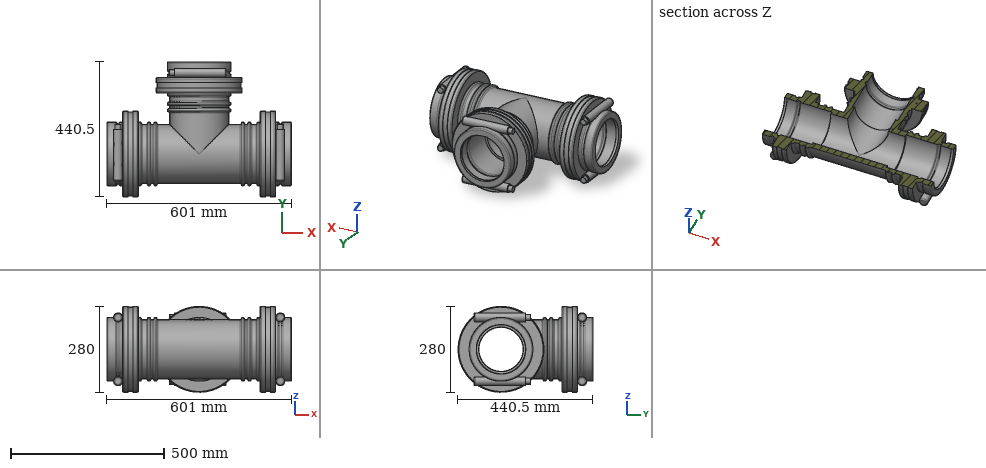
import cadquery as cq
import math

ARM_LENGTH = 300.5
PIPE_RADIUS = 193.0 / 2
COLLAR_RADIUS = 208.0 / 2
COLLAR_ROUND = 3.5

FLANGE_START = 51.0
FLANGE_THICKNESS = 51.0
FLANGE_RADIUS = 280.0 / 2
FLANGE_BAND_RADIUS = 274.5 / 2
FLANGE_ROUND = 5.0

RIB_DEPTHS = (107.0, 137.0, 158.0)
RIB_CREST_ROUND = 5.1
RIB_ROOT_ROUND = 3.9

GROOVE_CENTER = 36.0
GROOVE_CUT = 6.0
GROOVE_BOTTOM_ROUND = 3.9
GROOVE_LIP_ROUND = 5.7

BORE_RADIUS = 144.0 / 2
SEAT_RADIUS = 160.0 / 2
MOUTH_RADIUS = 161.5 / 2
MOUTH_DEPTH = 9.0
SEAT_DEPTH = 168.0

SEAL_CENTER = 51.0
SEAL_CUT = 6.0
SEAL_BOTTOM_ROUND = 4.5
SEAL_LIP_ROUND = 3.3

PIN_RADIUS = 29.0 / 2
PIN_TIP_RADIUS = 20.5 / 2
PIN_HEAD_REACH = 88.0
PIN_SHOULDER_REACH = 80.5
PIN_TIP_REACH = 96.0
PIN_HEAD_ROUND = PIN_RADIUS - PIN_TIP_RADIUS


def wave_ring(center, base_radius, peak_radius, peak_round, base_round):
    """Ring around the arm axis, bulging from base_radius to peak_radius, blended by tangent arcs.

    The depth runs along x and the radius along y. The ring is added as a rib or cut away as a groove.
    """
    height = abs(peak_radius - base_radius)
    direction = math.copysign(1, peak_radius - base_radius)
    round_sum = peak_round + base_round
    slope_angle = math.acos(1 - height / round_sum)
    half_width = round_sum * math.sin(slope_angle)

    def on_peak(angle):
        return (
            center + peak_round * math.sin(angle),
            peak_radius - direction * peak_round * (1 - math.cos(angle)),
        )

    def on_base(side, angle):
        return (
            center + side * (half_width - base_round * math.sin(angle)),
            base_radius + direction * base_round * (1 - math.cos(angle)),
        )

    closing_radius = base_radius - direction * height
    return (
        cq.Workplane("XY")
        .moveTo(center - half_width, closing_radius)
        .lineTo(*on_base(-1, 0))
        .threePointArc(on_base(-1, slope_angle / 2), on_base(-1, slope_angle))
        .threePointArc(on_peak(-slope_angle / 2), on_peak(0))
        .threePointArc(on_peak(slope_angle / 2), on_peak(slope_angle))
        .threePointArc(on_base(1, slope_angle / 2), on_base(1, 0))
        .lineTo(center + half_width, closing_radius)
        .close()
        .revolve(360, (0, 0, 0), (1, 0, 0))
    )


def cylinder(start, length, radius):
    """Cylinder on the arm axis, starting at the given depth."""
    return cq.Workplane("YZ").workplane(offset=start).circle(radius).extrude(length)


def flange():
    """Two equal rims with rounded outer corners, joined by the recessed band."""
    third = FLANGE_THICKNESS / 3
    band = cylinder(FLANGE_START, FLANGE_THICKNESS, FLANGE_BAND_RADIUS)
    front_rim = cylinder(FLANGE_START, third, FLANGE_RADIUS).faces("<X").edges().fillet(FLANGE_ROUND)
    rear_start = FLANGE_START + FLANGE_THICKNESS - third
    rear_rim = cylinder(rear_start, third, FLANGE_RADIUS).faces(">X").edges().fillet(FLANGE_ROUND)
    return band.union(front_rim).union(rear_rim)


def pin(height):
    """Pin across the arm along Y, with its thick rounded head on the -Y side."""
    base = cq.Workplane("XZ", origin=(GROOVE_CENTER, -PIN_HEAD_REACH, height))
    body = (
        base.circle(PIN_RADIUS)
        .extrude(-(PIN_HEAD_REACH + PIN_SHOULDER_REACH))
        .faces("<Y")
        .edges()
        .fillet(PIN_HEAD_ROUND)
    )
    tip = base.circle(PIN_TIP_RADIUS).extrude(-(PIN_HEAD_REACH + PIN_TIP_REACH))
    return body.union(tip)


def end_fitting():
    """Socket, flange, ribs and pins of an arm along +X, with its open end at x = 0."""
    socket = cylinder(0, FLANGE_START, COLLAR_RADIUS).faces("<X").edges().fillet(COLLAR_ROUND)
    groove = wave_ring(
        GROOVE_CENTER,
        COLLAR_RADIUS,
        COLLAR_RADIUS - GROOVE_CUT,
        GROOVE_BOTTOM_ROUND,
        GROOVE_LIP_ROUND,
    )
    body = socket.cut(groove).union(flange())
    for height in (COLLAR_RADIUS, -COLLAR_RADIUS):
        body = body.union(pin(height))
    for depth in RIB_DEPTHS:
        body = body.union(wave_ring(depth, PIPE_RADIUS, COLLAR_RADIUS, RIB_CREST_ROUND, RIB_ROOT_ROUND))
    return body


def arm_bore():
    """Bore of one arm: a wide mouth, the seat with its groove, then the narrower pipe bore."""
    groove = wave_ring(
        SEAL_CENTER,
        SEAT_RADIUS,
        SEAT_RADIUS + SEAL_CUT,
        SEAL_BOTTOM_ROUND,
        SEAL_LIP_ROUND,
    )
    bore = cylinder(0, ARM_LENGTH, BORE_RADIUS)
    bore = bore.union(cylinder(0, SEAT_DEPTH, SEAT_RADIUS))
    bore = bore.union(cylinder(0, MOUTH_DEPTH, MOUTH_RADIUS))
    return bore.union(groove)


def left(shape):
    """Arm towards -X, with its pin heads pointing to -Y."""
    return shape.translate((-ARM_LENGTH, 0, 0))


def right(shape):
    """Arm towards +X, mirrored so that its pin heads also point to -Y."""
    return left(shape).mirror("YZ")


def branch(shape):
    """Arm towards +Y, with its pin heads pointing to +X."""
    return left(shape).mirror("XZ").rotate((0, 0, 0), (0, 0, 1), -90)


pipe_length = ARM_LENGTH - FLANGE_START
run_pipe = cylinder(-pipe_length, 2 * pipe_length, PIPE_RADIUS)
branch_pipe = cq.Workplane("XZ").circle(PIPE_RADIUS).extrude(-pipe_length)

fitting = end_fitting()
bore = arm_bore()
result = run_pipe.union(branch_pipe)
for place in (left, right, branch):
    result = result.union(place(fitting))
for place in (left, right, branch):
    result = result.cut(place(bore))